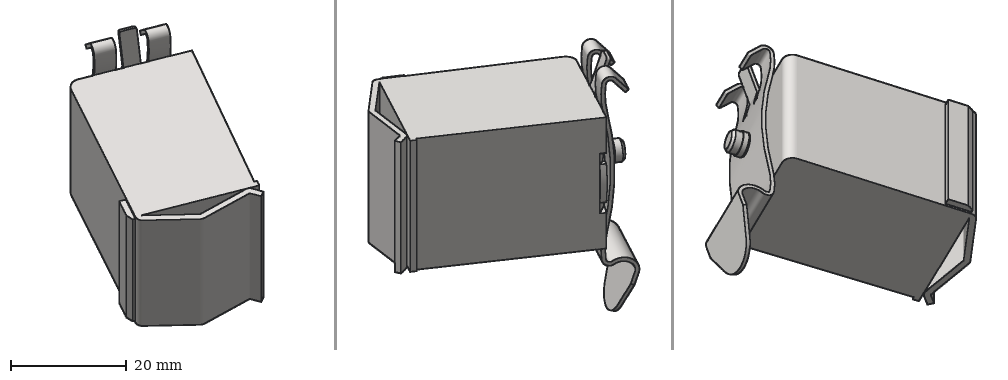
import cadquery as cq
import math


housing_length = 35.0
housing_height = 25.95
housing_bottom_y = -12.05
mount_end_y = 10.9
lip_end_y = 10.25
lip_y = 10.75
corner_radius = 2.0
wall = 1.2

ear_top_y = 11.45
ear_half_chord = 3.8
notch_outer_z = 5.9
notch_tip_z = 5.3
notch_inner_z = 3.8
notch_tip_y = 9.3
notch_ramp_length = 1.2

strip_length = 4.95
strip_height = 25.0
strip_thickness = 1.2
strip_chamfer_length = 1.2
strip_chamfer_depth = 0.7

cover_thickness = 1.2
cover_bend_radius = 0.7
cover_lower_heading = 72.0
cover_upper_heading = 108.0
cover_tip_heading = 50.0
cover_lower_length = 9.95
cover_upper_length = 9.85
cover_tip_length = 2.05

clip_thickness = 0.76
clip_width = 14.0
bow_center_x = -2.1
bow_radius = 53.0
bow_half_height = 11.7
easing_end_z = 17.35
easing_radius = 16.0
hook_radius = 1.1
hook_heading = 228.0
hook_length = 3.5
hook_tip_corner = 0.4
foot_bend_radius = 1.1
foot_bend_heading = 148.0
foot_hump_radius = 2.93
foot_hump_end_heading = 240.0
foot_turn_radius = 1.7
clip_lean = 18.0
tongue_bottom_z = -30.96
tongue_parallel_length = 2.5
tongue_tip_radius = 5.0
tongue_taper = 27.0

tab_width = 3.2
tab_slot_width = 1.4
tab_slot_bottom_z = 9.4
tab_bend_z = 12.3
tab_bend_radius = 0.8
tab_top_z = 19.42
tab_tip_corner = 0.4

screw_radius = 2.1
screw_tip_radius = 1.65
screw_tip_x = -5.75
screw_tip_chamfer = 0.55
collar_radius = 2.28
collar_start_x = -3.8
collar_end_x = -2.7


def direction(angle):
    return cq.Vector(math.cos(math.radians(angle)), math.sin(math.radians(angle)))


def follow(start, heading, steps):
    """Trace a centreline of ("line", length) and ("arc", radius, turn) steps.

    Each piece is (is straight, its start, middle and end points, the headings there).
    """
    point = cq.Vector(*start)
    pieces = []
    for step in steps:
        if step[0] == "line":
            turn = 0
            middle = point + direction(heading) * (step[1] / 2)
            end = point + direction(heading) * step[1]
        else:
            turn = step[2]
            side = math.copysign(90, turn)
            center = point + direction(heading + side) * step[1]
            middle = center - direction(heading + turn / 2 + side) * step[1]
            end = center - direction(heading + turn + side) * step[1]
        pieces.append((turn == 0, (point, middle, end), (heading, heading + turn / 2, heading + turn)))
        point = end
        heading += turn
    return pieces


def bent_sheet(plane, pieces, thickness, width):
    """Sheet of constant thickness along a traced centreline, centred on the plane."""

    def offset(piece, side):
        return [
            (point + direction(heading + 90) * (side * thickness / 2)).toTuple()[:2]
            for point, heading in zip(piece[1], piece[2])
        ]

    def add(outline, straight, middle, end):
        return outline.lineTo(*end) if straight else outline.threePointArc(middle, end)

    outline = cq.Workplane(plane).moveTo(*offset(pieces[0], 1)[0])
    for piece in pieces:
        _, middle, end = offset(piece, 1)
        outline = add(outline, piece[0], middle, end)
    outline = outline.lineTo(*offset(pieces[-1], -1)[2])
    for piece in reversed(pieces):
        start, middle, _ = offset(piece, -1)
        outline = add(outline, piece[0], middle, start)
    return outline.close().extrude(width / 2, both=True)


def round_corners(sheet, corners, radius):
    """Round the sheet at the corner edges whose midpoints are given."""
    for corner in corners:
        sheet = sheet.edges(cq.NearestToPointSelector(corner)).fillet(radius)
    return sheet


def make_housing():
    lip_x = housing_length - wall
    body = (
        cq.Workplane("XY")
        .moveTo(0, housing_bottom_y)
        .lineTo(housing_length, housing_bottom_y)
        .lineTo(housing_length, lip_y)
        .lineTo(lip_x, lip_y)
        .lineTo(lip_x, lip_end_y)
        .lineTo(0, mount_end_y)
        .close()
        .extrude(housing_height / 2, both=True)
    )
    return body.edges("|Z and <X and <Y").fillet(corner_radius)


def make_ear():
    return (
        cq.Workplane("YZ")
        .moveTo(mount_end_y - wall, -ear_half_chord)
        .lineTo(mount_end_y, -ear_half_chord)
        .threePointArc((ear_top_y, 0), (mount_end_y, ear_half_chord))
        .lineTo(mount_end_y - wall, ear_half_chord)
        .close()
        .extrude(wall)
    )


def make_notch(side):
    """Notch beside the ear; its floor ramps up from the mounting face."""
    profile = (
        cq.Workplane("YZ")
        .moveTo(mount_end_y, side * notch_outer_z)
        .lineTo(notch_tip_y, side * notch_tip_z)
        .lineTo(notch_tip_y + (notch_outer_z - notch_tip_z), side * notch_inner_z)
        .lineTo(mount_end_y, side * notch_inner_z)
        .close()
        .extrude(notch_ramp_length)
    )
    ramp = (
        cq.Workplane("XY")
        .moveTo(0, notch_tip_y)
        .lineTo(notch_ramp_length, mount_end_y)
        .lineTo(0, mount_end_y)
        .close()
        .extrude(housing_height / 2, both=True)
    )
    return profile.intersect(ramp)


def make_latch_strip():
    outer_y = housing_bottom_y - strip_thickness
    start_x = housing_length - strip_length
    return (
        cq.Workplane("XY")
        .moveTo(start_x, housing_bottom_y)
        .lineTo(start_x, outer_y)
        .lineTo(housing_length - strip_chamfer_length, outer_y)
        .lineTo(housing_length, outer_y + strip_chamfer_depth)
        .lineTo(housing_length, housing_bottom_y)
        .close()
        .extrude(strip_height / 2, both=True)
    )


def make_cover_spring():
    start = (housing_length - wall, housing_bottom_y + cover_thickness / 2)
    steps = [
        ("line", wall),
        ("arc", cover_bend_radius, cover_lower_heading),
        ("line", cover_lower_length),
        ("arc", cover_bend_radius, cover_upper_heading - cover_lower_heading),
        ("line", cover_upper_length),
        ("arc", cover_bend_radius, cover_tip_heading - cover_upper_heading),
        ("line", cover_tip_length),
    ]
    return bent_sheet("XY", follow(start, 0, steps), cover_thickness, housing_height)


bow_angle = math.degrees(math.asin(bow_half_height / bow_radius))
easing_rise = easing_end_z - bow_half_height
easing_overturn = math.degrees(math.asin(easing_rise / easing_radius - math.sin(math.radians(bow_angle))))


def make_hooks():
    """Upper half of the clip, split by the gap in which the spring tab stands."""
    steps = [
        ("arc", bow_radius, -bow_angle),
        ("arc", easing_radius, bow_angle + easing_overturn),
        ("arc", hook_radius, hook_heading - 90 - easing_overturn),
        ("line", hook_length),
    ]
    pieces = follow((bow_center_x, 0), 90, steps)
    sheet = bent_sheet("XZ", pieces, clip_thickness, clip_width)
    gap_width = tab_width + 2 * tab_slot_width
    gap = cq.Workplane("XY").workplane(offset=tab_slot_bottom_z).rect(clip_width, gap_width)
    hooks = sheet.cut(gap.extrude(tab_top_z - tab_slot_bottom_z))
    tip = pieces[-1][1][2]
    corners = [(tip.x, side * width / 2, tip.y) for side in (-1, 1) for width in (gap_width, clip_width)]
    return round_corners(hooks, corners, hook_tip_corner)


def make_tab():
    tab_angle = math.degrees(math.asin(tab_bend_z / bow_radius))
    lean = math.radians(clip_lean)
    steps = [
        ("arc", bow_radius, -tab_angle),
        ("arc", tab_bend_radius, tab_angle + clip_lean),
    ]
    bend_end = follow((bow_center_x, 0), 90, steps)[-1][1][2]
    rise = tab_top_z - bend_end.y - clip_thickness / 2 * math.sin(lean)
    steps.append(("line", rise / math.cos(lean)))
    pieces = follow((bow_center_x, 0), 90, steps)
    tab = bent_sheet("XZ", pieces, clip_thickness, tab_width)
    tip = pieces[-1][1][2]
    corners = [(tip.x, side * tab_width / 2, tip.y) for side in (-1, 1)]
    return round_corners(tab, corners, tab_tip_corner)


def make_foot():
    """Lower half of the clip, ending in a rounded finger tongue."""
    steps = [
        ("arc", bow_radius, bow_angle),
        ("arc", easing_radius, -bow_angle - easing_overturn),
        ("arc", foot_bend_radius, foot_bend_heading - 270 + easing_overturn),
        ("arc", foot_hump_radius, foot_hump_end_heading - foot_bend_heading),
        ("arc", foot_turn_radius, 270 + clip_lean - foot_hump_end_heading),
    ]
    pieces = follow((bow_center_x, 0), -90, steps)
    sheet = bent_sheet("XZ", pieces, clip_thickness, clip_width)
    return sheet.union(make_tongue(pieces[-1][1][2]))


def make_tongue(start):
    lean = math.radians(clip_lean)
    taper = math.radians(tongue_taper)
    length = (start.y - tongue_bottom_z - clip_thickness / 2 * math.sin(lean)) / math.cos(lean)
    half_width = clip_width / 2
    tangent_x = tongue_tip_radius * math.cos(taper)
    tangent_y = length - tongue_tip_radius * (1 - math.sin(taper))
    plane = cq.Plane(
        origin=(start.x, 0, start.y),
        xDir=(0, 1, 0),
        normal=(math.cos(lean), 0, math.sin(lean)),
    )
    return (
        cq.Workplane(plane)
        .moveTo(-half_width, 0)
        .lineTo(-half_width, -tongue_parallel_length)
        .lineTo(-tangent_x, -tangent_y)
        .threePointArc((0, -length), (tangent_x, -tangent_y))
        .lineTo(half_width, -tongue_parallel_length)
        .lineTo(half_width, 0)
        .close()
        .extrude(clip_thickness / 2, both=True)
    )


def make_screw():
    return (
        cq.Workplane("XY")
        .moveTo(screw_tip_x, 0)
        .lineTo(screw_tip_x, screw_tip_radius)
        .lineTo(screw_tip_x + screw_tip_chamfer, screw_radius)
        .lineTo(collar_start_x, screw_radius)
        .lineTo(collar_start_x, collar_radius)
        .lineTo(collar_end_x, collar_radius)
        .lineTo(collar_end_x, screw_radius)
        .lineTo(wall, screw_radius)
        .lineTo(wall, 0)
        .close()
        .revolve(360, (0, 0, 0), (1, 0, 0))
    )


housing = make_housing().union(make_ear())
for notch_side in (-1, 1):
    housing = housing.cut(make_notch(notch_side))
housing = housing.union(make_latch_strip()).union(make_cover_spring())
clip = make_hooks().union(make_tab()).union(make_foot())
result = housing.union(make_screw()).union(clip)